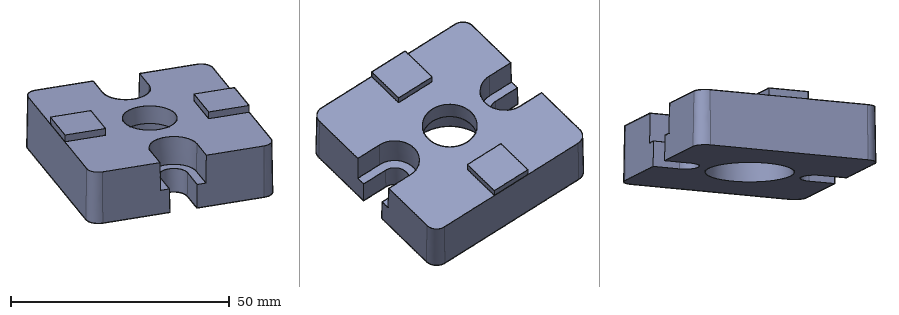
import cadquery as cq

BOTTOM_SIDE = 45.25
BODY_HEIGHT = 13.0
TOTAL_HEIGHT = 14.7
DRAFT = 1.0
BOTTOM_CORNER_RADIUS = 3.05

PAD_SIDE = 9.8
PAD_OUTER_SPAN = 44.7

SLOT_CENTRE_X = 16.1
SLOT_WIDTH = 6.5
RECESS_WIDTH = 11.0
RECESS_FLOOR = 5.97

BORE_DIAMETER = 12.5
BORE_DEPTH = 4.5
CAVITY_DIAMETER = 20.1

cavity_ceiling = BODY_HEIGHT - BORE_DEPTH


def make_body():
    """Square block with rounded corners, tapering inward towards the top."""
    outline = cq.Sketch().rect(BOTTOM_SIDE, BOTTOM_SIDE).vertices().fillet(BOTTOM_CORNER_RADIUS)
    return cq.Workplane("XY").placeSketch(outline).extrude(BODY_HEIGHT, taper=DRAFT)


def make_pads():
    """Two flat square pads beside the +Y and -Y edges of the top face."""
    offset = (PAD_OUTER_SPAN - PAD_SIDE) / 2
    return (
        cq.Workplane("XY")
        .workplane(offset=BODY_HEIGHT)
        .pushPoints([(0, offset), (0, -offset)])
        .rect(PAD_SIDE, PAD_SIDE)
        .extrude(TOTAL_HEIGHT - BODY_HEIGHT)
    )


def make_slot(width, floor, ceiling):
    """Round-ended slot running out through +X, widening upward by the draft angle."""
    overrun = BOTTOM_SIDE / 2
    length = overrun + width
    return (
        cq.Workplane("XY", origin=(SLOT_CENTRE_X + overrun / 2, 0, floor))
        .slot2D(length, width)
        .extrude(ceiling - floor, taper=-DRAFT)
    )


def make_bore():
    """Plain bore through the top wall, opening into a wider drafted cavity below."""
    bore = cq.Workplane("XY").circle(BORE_DIAMETER / 2).extrude(BODY_HEIGHT)
    cavity = (
        cq.Workplane("XY", origin=(0, 0, cavity_ceiling))
        .circle(CAVITY_DIAMETER / 2)
        .extrude(-cavity_ceiling, taper=-DRAFT)
    )
    return bore.union(cavity)


lower_slot = make_slot(SLOT_WIDTH, 0, RECESS_FLOOR)
upper_recess = make_slot(RECESS_WIDTH, RECESS_FLOOR, BODY_HEIGHT)
right_slot = lower_slot.union(upper_recess)
left_slot = right_slot.mirror("YZ")

result = make_body().union(make_pads()).cut(right_slot).cut(left_slot).cut(make_bore())